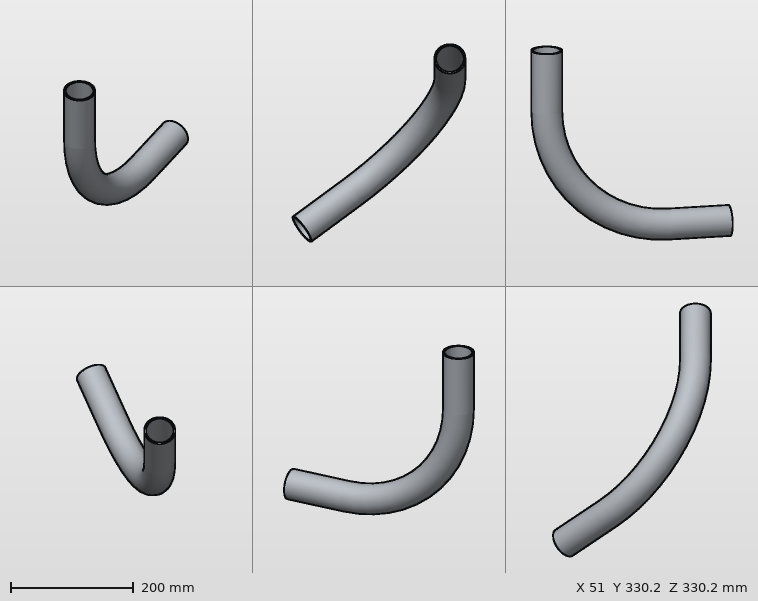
import cadquery as cq

overall_size = 330.2
outer_diameter = 51.0
inner_diameter = 44.5
leg_length = 2 * outer_diameter
centerline_reach = overall_size - outer_diameter / 2
bend_radius = centerline_reach - leg_length


def tube_section(workplane):
    """Draw the ring-shaped cross section of the tube."""
    return workplane.circle(outer_diameter / 2).circle(inner_diameter / 2)


upright_leg = tube_section(
    cq.Workplane("XY", origin=(0, 0, bend_radius))
).extrude(leg_length)

level_leg = tube_section(
    cq.Workplane("XZ", origin=(0, bend_radius, 0))
).extrude(-leg_length)

bend = tube_section(
    cq.Workplane("XY", origin=(0, 0, bend_radius))
).revolve(90, (0, bend_radius, 0), (1, bend_radius, 0))

result = upright_leg.union(bend).union(level_leg)